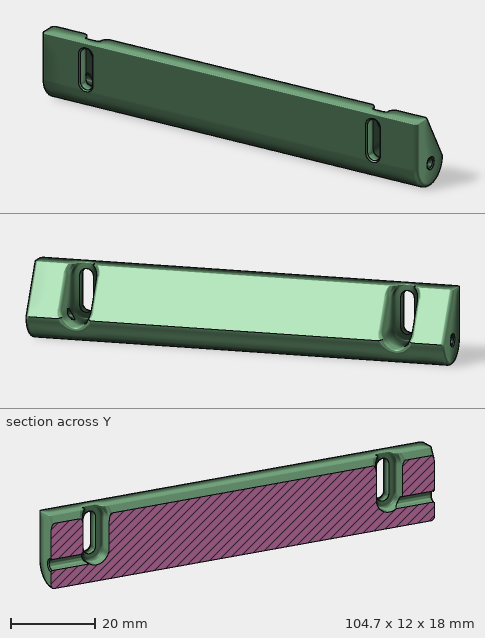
import cadquery as cq
import math

length = 104.7
nose_radius = 6.0
top_height = 12.0
back_slope_angle = 30.0
end_fillet = 1.0
top_fillet = 0.2

slot_x = 40.0
slot_width = 3.4
slot_bottom_z = -0.05
slot_top_z = 10.55
slot_chamfer = 0.35

recess_width = 7.0
front_wall = 2.8
recess_rim_fillet = 1.0
recess_floor_fillet = 0.5

pin_diameter = 2.6
pin_chamfer = 0.3

half_length = length / 2
depth = 2 * nose_radius
front_y = -nose_radius
back_y = nose_radius
apex_z = depth / math.tan(math.radians(back_slope_angle))
slot_length = slot_top_z - slot_bottom_z
slot_centre_z = (slot_bottom_z + slot_top_z) / 2
recess_length = slot_length + recess_width - slot_width
recess_floor_y = front_y + front_wall
selection_margin = 0.1


def make_bar():
    """Full-length bar, left uncut above so that its back slope runs up to an apex."""
    profile = (
        cq.Workplane("YZ", origin=(-half_length, 0, 0))
        .moveTo(front_y, 0)
        .lineTo(front_y, apex_z)
        .lineTo(back_y, 0)
        .threePointArc((0, -nose_radius), (front_y, 0))
        .close()
    )
    return profile.extrude(length)


def upright_slot(x, start_y, width, overall_length):
    """Rounded slot standing along Z, running towards +Y from start_y."""
    plane = cq.Workplane("XZ", origin=(x, start_y, slot_centre_z))
    return plane.slot2D(overall_length, width, 90).extrude(-depth)


def cut_recess(bar, x):
    """Head recess with a rounded floor edge and a rounded rim on the back."""
    recess = upright_slot(x, recess_floor_y, recess_width, recess_length)
    recess = recess.faces("<Y").edges().fillet(recess_floor_fillet)
    bar = bar.cut(recess)

    reach = recess_width / 2 + selection_margin
    rim_box = cq.selectors.BoxSelector(
        (x - reach, recess_floor_y + selection_margin, -nose_radius),
        (x + reach, back_y + selection_margin, apex_z),
        boundingbox=True,
    )
    rim = bar.edges(rim_box).edges("not(|Y)")
    return bar.newObject(rim.vals()).fillet(recess_rim_fillet)


def cut_top(bar):
    """Flat top, which also trims the upper end of each recess."""
    block = cq.Workplane("XY", origin=(0, 0, top_height)).rect(length, depth)
    return bar.cut(block.extrude(apex_z))


def round_edges(bar):
    """Round both ends except along the top, then the whole outline of the top face."""
    bar = bar.faces("<X or >X").edges("not(>Z)").fillet(end_fillet)
    return bar.faces(">Z").edges("<Y").fillet(top_fillet)


def cut_slot(bar, x):
    """Through slot with a chamfered mouth on the front face."""
    slot = upright_slot(x, front_y, slot_width, slot_length)
    mouth = (
        cq.Workplane("XZ", origin=(x, front_y, slot_centre_z))
        .slot2D(slot_length + 2 * slot_chamfer, slot_width + 2 * slot_chamfer, 90)
        .extrude(-slot_chamfer, taper=45)
    )
    return bar.cut(slot).cut(mouth)


def cut_pin_hole(bar, side):
    """Chamfered hole from one end (side is -1 or +1) into its recess."""
    pin_radius = pin_diameter / 2
    start = cq.Vector(side * half_length, 0, 0)
    inward = cq.Vector(-side, 0, 0)
    hole = cq.Solid.makeCylinder(pin_radius, half_length - slot_x, start, inward)
    mouth = cq.Solid.makeCone(pin_radius + pin_chamfer, pin_radius, pin_chamfer, start, inward)
    return bar.cut(cq.Workplane(hole)).cut(cq.Workplane(mouth))


result = make_bar()
for side in (-1, 1):
    result = cut_recess(result, side * slot_x)
result = cut_top(result)
result = round_edges(result)
for side in (-1, 1):
    result = cut_slot(result, side * slot_x)
    result = cut_pin_hole(result, side)